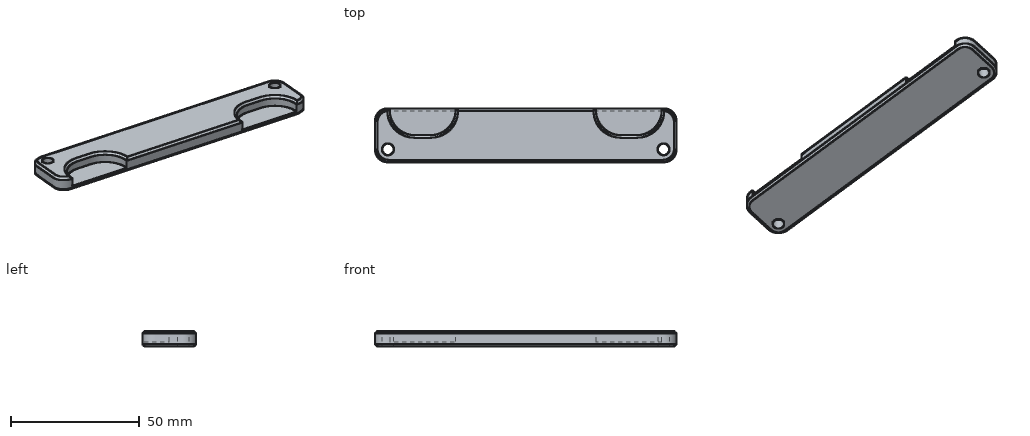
import cadquery as cq

length = 117
width = 21.0
thickness = 6.0
corner_radius = 5.0
edge_chamfer = 1.0

hole_diameter = 4.5
hole_x = length / 2 - corner_radius
hole_y = -width / 2 + corner_radius

pocket_width = 25.5
pocket_reach = 10.4
pocket_corner_radius = 9.6
pocket_floor = 1.8
pocket_center_x = 40.0
flare_angle = 45


def make_plate():
    """Rounded plate with chamfered top and bottom rims."""
    plate = cq.Workplane("XY").box(length, width, thickness, centered=(True, True, False))
    return plate.edges("|Z").fillet(corner_radius).faces("<Z or >Z").chamfer(edge_chamfer)


def make_pocket(center_x):
    """Pocket cutter, centred on the back edge, whose rim flares outward at the top face."""
    outline = (
        cq.Sketch()
        .rect(pocket_width, 2 * pocket_reach)
        .vertices()
        .fillet(pocket_corner_radius)
    )
    floor_plane = cq.Workplane("XY", origin=(center_x, width / 2, pocket_floor))
    flare_plane = floor_plane.workplane(offset=thickness - edge_chamfer - pocket_floor)
    straight = floor_plane.placeSketch(outline).extrude(thickness - pocket_floor)
    flare = flare_plane.placeSketch(outline).extrude(edge_chamfer, taper=-flare_angle)
    return straight.union(flare)


result = make_plate()
for side in (-1, 1):
    result = result.cut(make_pocket(side * pocket_center_x))

holes = (
    cq.Workplane("XY")
    .pushPoints([(-hole_x, hole_y), (hole_x, hole_y)])
    .circle(hole_diameter / 2)
    .extrude(thickness)
)
result = result.cut(holes)